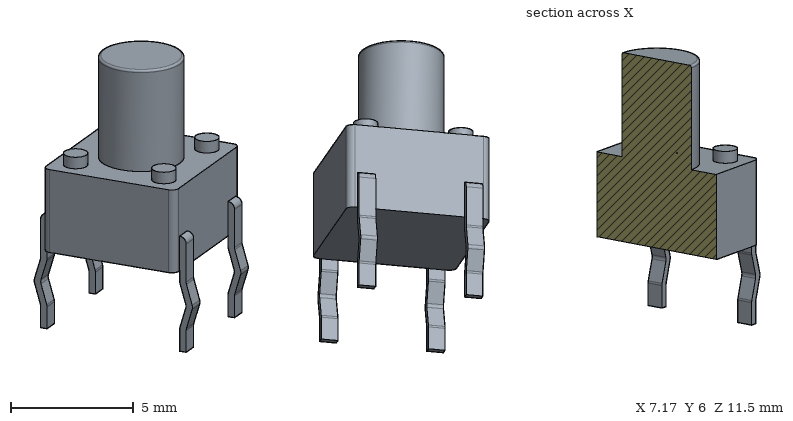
import cadquery as cq

BODY_SIDE = 6.0
BODY_HEIGHT = 3.6
BODY_CORNER_RADIUS = 0.3

BUTTON_DIAMETER = 3.5
BUTTON_TOP = 8.0
BUTTON_EDGE_RADIUS = 0.1

PEG_DIAMETER = 1.0
PEG_HEIGHT = 0.5
PEG_SPACING = 4.0

PIN_WIDTH = 0.7
PIN_THICKNESS = 0.3
PIN_SPACING = 4.5
PIN_TOP = 1.5
PIN_BOTTOM = -3.5
PIN_TOP_RADIUS = 0.29
KINK_CENTER = -1.5
KINK_HALF_HEIGHT = 1.0
KINK_DEPTH = 0.3
BEND_RADIUS = 0.3


def make_housing():
    """Square box with rounded upright corners."""
    box = cq.Workplane("XY").box(BODY_SIDE, BODY_SIDE, BODY_HEIGHT, centered=(True, True, False))
    return box.edges("|Z").fillet(BODY_CORNER_RADIUS)


def make_button():
    """Cylinder rising from inside the housing, with a rounded top rim."""
    button = cq.Workplane("XY").circle(BUTTON_DIAMETER / 2).extrude(BUTTON_TOP)
    return button.faces(">Z").edges().fillet(BUTTON_EDGE_RADIUS)


def make_pegs():
    """Four short pegs on a square pattern."""
    return (
        cq.Workplane("XY")
        .workplane(offset=BODY_HEIGHT)
        .rarray(PEG_SPACING, PEG_SPACING, 2, 2)
        .circle(PEG_DIAMETER / 2)
        .extrude(PEG_HEIGHT)
    )


def make_pin():
    """Flat strip against the +X wall, centered on Y = 0, bulging outward below the housing."""
    inner_x = BODY_SIDE / 2
    outer_x = inner_x + PIN_THICKNESS
    kink_top = KINK_CENTER + KINK_HALF_HEIGHT
    kink_bottom = KINK_CENTER - KINK_HALF_HEIGHT
    outline = [
        (outer_x, PIN_TOP),
        (outer_x, kink_top),
        (outer_x + KINK_DEPTH, KINK_CENTER),
        (outer_x, kink_bottom),
        (outer_x, PIN_BOTTOM),
        (inner_x, PIN_BOTTOM),
        (inner_x, kink_bottom),
        (inner_x + KINK_DEPTH, KINK_CENTER),
        (inner_x, kink_top),
        (inner_x, PIN_TOP),
    ]
    pin = cq.Workplane("XZ").polyline(outline).close().extrude(PIN_WIDTH / 2, both=True)
    below_housing = cq.selectors.BoxSelector(
        (0, -PIN_WIDTH, (kink_bottom + PIN_BOTTOM) / 2),
        (BODY_SIDE, PIN_WIDTH, 0),
    )
    pin = pin.edges("|Y").edges(below_housing).fillet(BEND_RADIUS)
    return pin.faces(">Z").edges(">X").fillet(PIN_TOP_RADIUS)


def add_pins(part):
    """Join two pins to each of the two X walls."""
    pin = make_pin()
    for y in (-PIN_SPACING / 2, PIN_SPACING / 2):
        right_pin = pin.translate((0, y, 0))
        part = part.union(right_pin).union(right_pin.mirror("YZ"))
    return part


result = add_pins(make_housing().union(make_button()).union(make_pegs()))